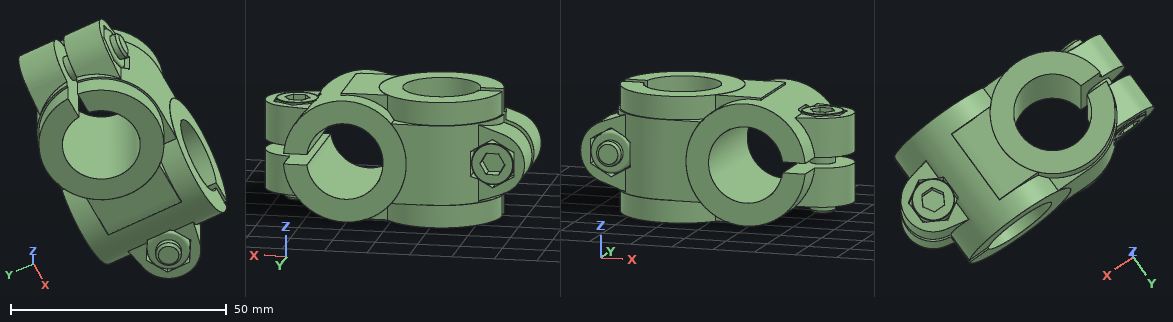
import cadquery as cq
import math


overall_length = 63.0

tube_offset = 10.0
tube_length = 30.0
tube_radius = 14.5
bore_radius = 9.0
axis_spacing = 2 * tube_offset

band_radius = 14.9
band_height = 19.0
short_band_overhang = 1.95

slit_width = 2.5
lug_width = 21.05
lug_radius = 7.5
lug_root = 9.65
bolt_offset = overall_length / 2 - tube_offset - lug_radius
steep_flank_angle = 19.5
shallow_flank_angle = 12.0

shank_diameter = 6.0
tip_chamfer = 0.6
tip_reach = 13.0
pocket_flats = 10.0
pocket_depth = 3.0
pocket_floor = lug_width / 2 - pocket_depth
cap_reach = 10.95
cap_height = cap_reach - pocket_floor
cap_diameter = 9.9
head_chamfer = 0.16
nut_rounding = 0.55
socket_flats = 5.05
socket_depth = 3.0


def across_corners(flats):
    """Corner-to-corner size of a regular hexagon."""
    return flats / math.cos(math.radians(30))


def make_band(overhang):
    """Round-ended band running from past the tube axis to the neighbouring tube axis."""
    size = 2 * band_radius
    band = (
        cq.Workplane("XY")
        .circle(band_radius)
        .extrude(band_height / 2, both=True)
        .union(cq.Workplane("XY").box(axis_spacing, size, band_height).translate((tube_offset, 0, 0)))
    )
    length = overhang + axis_spacing
    keep = cq.Workplane("XY").box(length, size, band_height)
    return band.intersect(keep.translate((length / 2 - overhang, 0, 0)))


def make_lug(flank_angle):
    """Round-nosed lug whose flanks run tangent from the nose and spread toward the tube."""
    angle = math.radians(flank_angle)
    tangent_x = -bolt_offset - lug_radius * math.sin(angle)
    tangent_z = lug_radius * math.cos(angle)
    root_z = tangent_z + (-lug_root - tangent_x) * math.tan(angle)
    return (
        cq.Workplane("XZ")
        .moveTo(-lug_root, root_z)
        .lineTo(tangent_x, tangent_z)
        .threePointArc((-bolt_offset - lug_radius, 0), (tangent_x, -tangent_z))
        .lineTo(-lug_root, -root_z)
        .close()
        .extrude(lug_width / 2, both=True)
    )


def bolt_plane(y, direction):
    """Plane across the screw axis at height y, facing +Y or -Y, with its local Y along Z."""
    return cq.Workplane(cq.Plane((-bolt_offset, y, 0), xDir=(-direction, 0, 0), normal=(0, direction, 0)))


def make_pockets():
    """Hexagonal pockets, flats facing the tube, open outward through the lug and the band."""
    pockets = cq.Workplane("XY")
    for direction in (1, -1):
        pocket = (
            bolt_plane(direction * pocket_floor, direction)
            .transformed(rotate=(0, 0, 90))
            .polygon(6, across_corners(pocket_flats))
            .extrude(tube_length / 2)
        )
        pockets = pockets.union(pocket)
    return pockets


def make_screw():
    """Socket screw with its head toward +Y and its tip and round nut toward -Y."""
    shank = (
        bolt_plane(pocket_floor, -1)
        .circle(shank_diameter / 2)
        .extrude(pocket_floor + tip_reach)
        .faces("<Y")
        .chamfer(tip_chamfer)
    )
    nut = (
        bolt_plane(-pocket_floor, -1)
        .circle(cap_diameter / 2)
        .extrude(cap_height)
        .faces("<Y")
        .edges()
        .fillet(nut_rounding)
    )
    head = (
        bolt_plane(pocket_floor, 1)
        .circle(cap_diameter / 2)
        .extrude(cap_height)
        .faces(">Y")
        .chamfer(head_chamfer)
    )
    socket = (
        bolt_plane(cap_reach, -1)
        .polygon(6, across_corners(socket_flats))
        .extrude(socket_depth)
    )
    return shank.union(nut).union(head).cut(socket)


def make_body(band_overhang, flank_angle):
    """Tube, band and lug of one clamp before any material is removed."""
    tube = cq.Workplane("XY").circle(tube_radius).extrude(tube_length / 2, both=True)
    return tube.union(make_band(band_overhang)).union(make_lug(flank_angle))


def make_openings():
    """Bore, slit and screw pockets of one clamp."""
    bore = cq.Workplane("XY").circle(bore_radius).extrude(tube_length / 2, both=True)
    bore = bore.rotate((0, 0, 0), (0, 0, 1), 180)
    slit_length = bolt_offset + lug_radius
    slit = cq.Workplane("XY").box(slit_length, slit_width, tube_length)
    return bore.union(slit.translate((-slit_length / 2, 0, 0))).union(make_pockets())


def place_upright(shape):
    """Tube along Z on the -X side, lug pointing to -X."""
    return shape.translate((-tube_offset, 0, 0))


def place_level(shape):
    """Tube along Y on the +X side, lug pointing to +X and screw head up."""
    return shape.rotate((0, 0, 0), (0, 1, 1), 180).translate((tube_offset, 0, 0))


upright_body = place_upright(make_body(band_radius, steep_flank_angle))
level_body = place_level(make_body(short_band_overhang, shallow_flank_angle))

result = upright_body.union(level_body)
for place in (place_upright, place_level):
    result = result.cut(place(make_openings()))
for place in (place_upright, place_level):
    result = result.union(place(make_screw()))